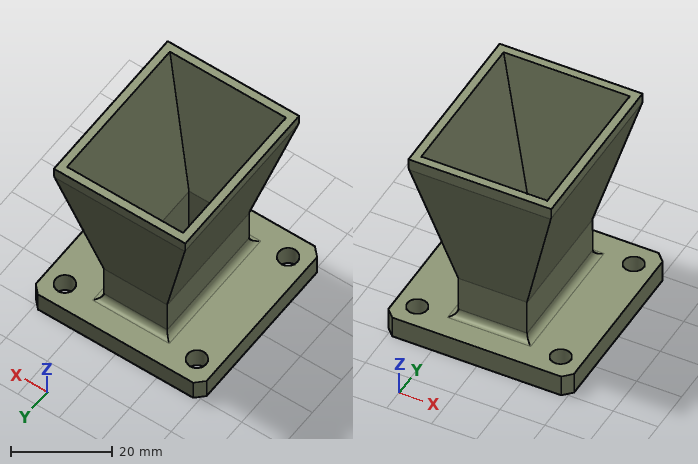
import cadquery as cq

flange_side = 41.4
flange_thickness = 5.0
corner_chamfer = 1.9
hole_diameter = 4.4
hole_spacing_x = 32.0
hole_spacing_y = 31.0

bore_x = 10.25
bore_y = 22.85
throat_wall = 2.55
throat_x = bore_x + 2 * throat_wall
throat_y = bore_y + 2 * throat_wall
throat_top = 14.7
throat_fillet = 1.6

total_height = 47.0
mouth_x = 28.1
mouth_y = 34.95
rim_wall = 1.9
rim_x = mouth_x + 2 * rim_wall
rim_y = mouth_y + 2 * rim_wall
flare_top_x = 44.75
flare_top_y = 44.3


def box(x, y, bottom, top):
    """Centred upright box between two levels."""
    return cq.Workplane("XY").workplane(offset=bottom).rect(x, y).extrude(top - bottom)


def taper(x_low, y_low, bottom, x_high, y_high, top):
    """Centred rectangular frustum between two levels."""
    return (
        cq.Workplane("XY")
        .workplane(offset=bottom)
        .rect(x_low, y_low)
        .workplane(offset=top - bottom)
        .rect(x_high, y_high)
        .loft(ruled=True)
    )


def horn_slab(plane, low_width, high_width, flare_top, depth):
    """Flared outline with a straight rim, extruded equally to both sides of the plane."""
    return (
        cq.Workplane(plane)
        .moveTo(-low_width / 2, throat_top)
        .lineTo(low_width / 2, throat_top)
        .lineTo(high_width / 2, flare_top)
        .lineTo(high_width / 2, total_height)
        .lineTo(-high_width / 2, total_height)
        .lineTo(-high_width / 2, flare_top)
        .close()
        .extrude(depth / 2, both=True)
    )


flange = box(flange_side, flange_side, 0, flange_thickness).edges("|Z").chamfer(corner_chamfer)

body = flange.union(box(throat_x, throat_y, flange_thickness, throat_top))
foot_margin = 0.45
foot = cq.selectors.BoxSelector(
    (-throat_x / 2 - foot_margin, -throat_y / 2 - foot_margin, flange_thickness - foot_margin),
    (throat_x / 2 + foot_margin, throat_y / 2 + foot_margin, flange_thickness + foot_margin),
)
body = body.edges(foot).fillet(throat_fillet)

flare_along_x = horn_slab("XZ", throat_x, rim_x, flare_top_x, rim_y)
flare_along_y = horn_slab("YZ", throat_y, rim_y, flare_top_y, rim_x)
body = body.union(flare_along_x.intersect(flare_along_y))

body = body.cut(box(bore_x, bore_y, 0, throat_top))
body = body.cut(taper(bore_x, bore_y, throat_top, mouth_x, mouth_y, total_height))

holes = (
    cq.Workplane("XY")
    .rect(hole_spacing_x, hole_spacing_y, forConstruction=True)
    .vertices()
    .circle(hole_diameter / 2)
    .extrude(flange_thickness)
)
result = body.cut(holes)